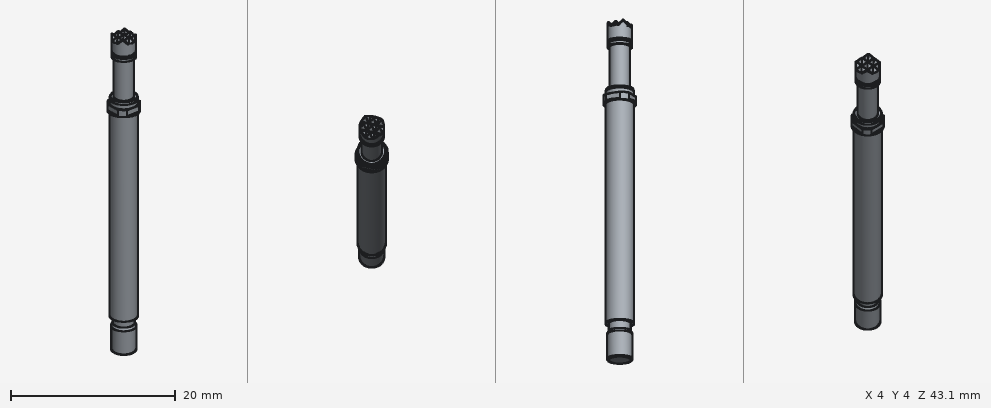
import cadquery as cq

TOTAL_HEIGHT = 43.1
TAIL_TOP = 3.3
NECK_BOTTOM = 3.7
BARREL_BOTTOM = 4.7
COLLAR_BOTTOM = 32.75
COLLAR_TOP = 33.7
BARREL_TOP = 34.6
HEAD_BOTTOM = 40.05
GROOVE_BOTTOM = 40.45
GROOVE_FLOOR_BOTTOM = 40.6
GROOVE_TOP = 40.75

TAIL_RADIUS = 1.55
NECK_RADIUS = 1.35
BARREL_RADIUS = 1.75
COLLAR_RADIUS = 2.0
PLUNGER_RADIUS = 1.25
HEAD_RADIUS = 1.5
GROOVE_RADIUS = 1.3

TAIL_CHAMFER = 0.15
BARREL_TAPER_HEIGHT = 0.3
BARREL_TAPER_DEPTH = 0.12

FLAT_DISTANCE = BARREL_RADIUS
LIP_THICKNESS = 0.1

TOOTH_PITCH = 1.0
TEETH_PER_ROW = 3
TOOTH_HEIGHT = 0.7


def make_turned_body():
    """Revolve the tail, neck, barrel, plunger and grooved head around Z."""
    profile = [
        (0, 0),
        (TAIL_RADIUS - TAIL_CHAMFER, 0),
        (TAIL_RADIUS, TAIL_CHAMFER),
        (TAIL_RADIUS, TAIL_TOP),
        (NECK_RADIUS, NECK_BOTTOM),
        (NECK_RADIUS, BARREL_BOTTOM),
        (BARREL_RADIUS, BARREL_BOTTOM),
        (BARREL_RADIUS, BARREL_TOP - BARREL_TAPER_HEIGHT),
        (BARREL_RADIUS - BARREL_TAPER_DEPTH, BARREL_TOP),
        (PLUNGER_RADIUS, BARREL_TOP),
        (PLUNGER_RADIUS, HEAD_BOTTOM),
        (HEAD_RADIUS, HEAD_BOTTOM),
        (HEAD_RADIUS, GROOVE_BOTTOM),
        (GROOVE_RADIUS, GROOVE_FLOOR_BOTTOM),
        (GROOVE_RADIUS, GROOVE_TOP),
        (HEAD_RADIUS, GROOVE_TOP),
        (HEAD_RADIUS, TOTAL_HEIGHT),
        (0, TOTAL_HEIGHT),
    ]
    return cq.Workplane("XZ").polyline(profile).close().revolve(360, (0, 0), (0, 1))


def make_collar():
    """Round collar with four flats above a thin full-circle lip."""
    lip = cq.Workplane("XY").workplane(offset=COLLAR_BOTTOM).circle(COLLAR_RADIUS).extrude(LIP_THICKNESS)
    flats_bottom = COLLAR_BOTTOM + LIP_THICKNESS
    flats_height = COLLAR_TOP - flats_bottom
    base = cq.Workplane("XY").workplane(offset=flats_bottom)
    block = base.rect(2 * FLAT_DISTANCE, 2 * FLAT_DISTANCE).extrude(flats_height)
    flatted = base.circle(COLLAR_RADIUS).extrude(flats_height).intersect(block)
    return lip.union(flatted)


def make_tooth_groove(plane, offset):
    """V groove across the crown, one pitch wide at the tips of the teeth."""
    half_width = TOOTH_PITCH / 2
    section = [
        (offset - half_width, TOTAL_HEIGHT),
        (offset, TOTAL_HEIGHT - TOOTH_HEIGHT),
        (offset + half_width, TOTAL_HEIGHT),
    ]
    return cq.Workplane(plane).polyline(section).close().extrude(2 * HEAD_RADIUS, both=True)


def cut_crown(body):
    """Cut the same set of parallel grooves along X and along Y."""
    groove_count = TEETH_PER_ROW + 1
    for plane in ("XZ", "YZ"):
        for index in range(groove_count):
            offset = (index - (groove_count - 1) / 2) * TOOTH_PITCH
            body = body.cut(make_tooth_groove(plane, offset))
    return body


result = cut_crown(make_turned_body()).union(make_collar())